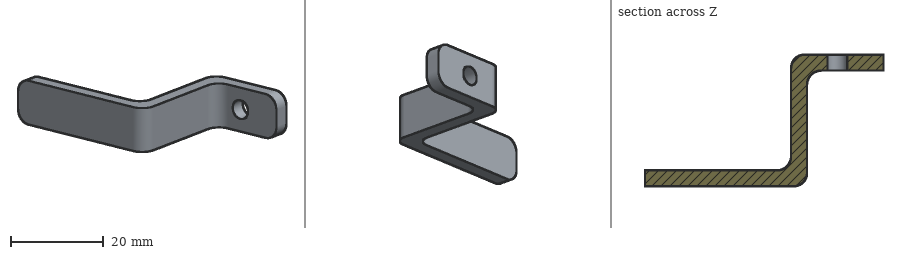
import cadquery as cq

length = 51.5
depth = 28.5
height = 10.0

thickness = 3.5
web_outer_x = 35.0
corner_radius = 3.0
hole_diameter = 4.2
hole_end_distance = 10.0

web_inner_x = web_outer_x - thickness
short_arm_y = depth - thickness


def bent_strip():
    """Long front arm, web and short rear arm, with every bend rounded."""
    outline = [
        (0, 0),
        (web_outer_x, 0),
        (web_outer_x, short_arm_y),
        (length, short_arm_y),
        (length, depth),
        (web_inner_x, depth),
        (web_inner_x, thickness),
        (0, thickness),
    ]
    strip = cq.Workplane("XY").polyline(outline).close().extrude(height)
    bends = cq.selectors.BoxSelector(
        (web_inner_x - 0.5, -0.5, -0.5), (web_outer_x + 0.5, depth + 0.5, height + 0.5)
    )
    return strip.edges("|Z").edges(bends).fillet(corner_radius)


def mounting_hole():
    """Cutter through the short arm, along Y at mid height."""
    return (
        cq.Workplane("XZ", origin=(length - hole_end_distance, depth, height / 2))
        .circle(hole_diameter / 2)
        .extrude(thickness)
    )


bracket = bent_strip()
bracket = bracket.faces("<X or >X").edges("|Y").fillet(corner_radius)
result = bracket.cut(mounting_hole())